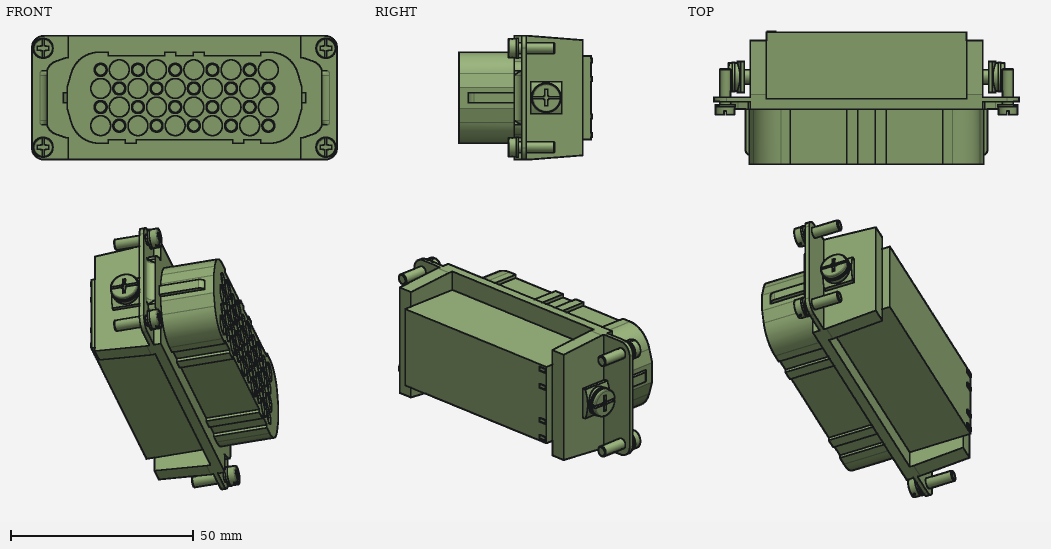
import cadquery as cq
import math


flange_length = 83.7
housing_height = 34.0
flange_front = 2.0
flange_back = 3.3
flange_corner_radius = 3.35
housing_length = 63.8
taper_start = 4.0
end_block_back = 18.8
end_block_back_height = 31.6
body_length = 54.9
body_height = 22.9
body_front = 2.85
body_back = 21.1

marker_size = (2.3, 0.25, 1.2)
marker_x = -26.0
marker_rows = (5.1, 10.2)

ear_reach = 37.7
ear_root_half_height = 11.0
ear_root_step = 0.6
ear_bend_x = 35.3
ear_bend_z = 10.0
ear_tip_half_height = 7.45
ear_corner_radius = 3.8
cove_width = 2.2
cove_half_height = 6.2
cove_end_rise = 0.1
cove_embed = 0.4

insert_depth = 15.15
insert_length = 64.3
insert_height = 24.95
insert_end_half_height = 2.9
insert_slant_inset = 1.1
insert_slant_z = 6.7
insert_flat_half_length = 23.4
insert_round_radius = 7.9
recess_depth = 1.0
recess_half_length = 20.8
rail_width = 3.0
top_rail_x = 3.9
bottom_rail_x = 14.7
key_reach = 33.2
key_height = 2.85
key_depth = 12.6
key_nose_length = 1.6
key_nose_radius = 1.75

contact_columns = 10
contact_rows = 4
contact_pitch = 5.1
contact_recess_depth = 0.5
wide_contact_diameter = 5.4
small_contact_diameter = 3.5
small_contact_floor_diameter = 3.0

screw_x = 38.75
screw_z = 13.6
screw_diameter = 3.0
screw_tip_chamfer = 0.25
screw_end = 11.05
screw_head_diameter = 5.3
screw_collar_diameter = 5.4
screw_collar_length = 0.6
screw_head_back = 1.2
screw_head_front = -1.6
screw_head_edge = 0.25
screw_slot_width = 0.5
screw_slot_depth = 1.0
screw_cross_length = 3.2
screw_cross_width = 1.0
screw_centre_width = 1.3

terminal_y = 8.8
terminal_stud_diameter = 4.0
plate_inner_x = 33.5
plate_edge_x = 34.5
plate_ridge_x = 35.4
plate_width = 8.5
plate_height = 8.7
terminal_head_diameter = 7.8
terminal_head_x = 37.9
terminal_rim_diameter = 8.0
terminal_rim_x = (36.75, 36.1)
terminal_head_edge = 0.25
terminal_slot_width = 0.7
terminal_slot_depth = 1.0
terminal_cross_length = 4.5
terminal_cross_width = 0.75
terminal_centre_diameter = 1.5


def front_plane(y):
    """Sketch plane with X right and Z up, placed at the given depth."""
    return cq.Workplane("XZ", origin=(0, y, 0))


def bar(length, height, y_from, y_to, x=0, z=0):
    """Rectangular bar running along Y."""
    return front_plane(y_from).center(x, z).rect(length, height).extrude(y_from - y_to)


def both_ends(shape):
    """Shape joined with its mirror image on the other end of the part."""
    return shape.union(shape.mirror("YZ"))


def make_housing():
    flange = bar(flange_length, housing_height, flange_front, flange_back)
    flange = flange.edges("|Y").fillet(flange_corner_radius)
    half_height = housing_height / 2
    back_half_height = end_block_back_height / 2
    block = (
        cq.Workplane("YZ", origin=(-housing_length / 2, 0, 0))
        .moveTo(0, -half_height)
        .lineTo(taper_start, -half_height)
        .lineTo(end_block_back, -back_half_height)
        .lineTo(end_block_back, back_half_height)
        .lineTo(taper_start, half_height)
        .lineTo(0, half_height)
        .close()
        .extrude(housing_length)
    )
    housing = flange.union(block).cut(bar(body_length, housing_height, body_front, end_block_back))
    housing = housing.union(bar(body_length, body_height, 0, body_back))
    for row in marker_rows:
        for z in (-row, row):
            marker = cq.Workplane("XY").box(*marker_size, centered=(True, False, True))
            housing = housing.union(marker.translate((marker_x, body_back, z)))
    return housing


def cove_section(z, rise):
    """Coved step in section, rooted in the flange: full rise at the ear, none at its outer edge."""
    outer_x = -ear_reach - cove_width
    middle_x = outer_x + cove_width * math.sin(math.pi / 4)
    middle_y = flange_front - rise * (1 - math.cos(math.pi / 4))
    return (
        cq.Workplane("XY", origin=(0, 0, z))
        .moveTo(outer_x, flange_front)
        .threePointArc((middle_x, middle_y), (-ear_reach, flange_front - rise))
        .lineTo(-ear_reach, flange_front + cove_embed)
        .lineTo(outer_x, flange_front + cove_embed)
        .close()
    )


def make_ear():
    root_x = -housing_length / 2
    ear = (
        front_plane(0)
        .moveTo(root_x, -ear_root_half_height)
        .lineTo(root_x - ear_root_step, -ear_root_half_height)
        .lineTo(-ear_bend_x, -ear_bend_z)
        .radiusArc((-ear_reach, -ear_tip_half_height), ear_corner_radius)
        .lineTo(-ear_reach, ear_tip_half_height)
        .radiusArc((-ear_bend_x, ear_bend_z), ear_corner_radius)
        .lineTo(root_x - ear_root_step, ear_root_half_height)
        .lineTo(root_x, ear_root_half_height)
        .close()
        .extrude(-flange_front)
    )
    ear = ear.union(cove_section(-cove_half_height, flange_front).extrude(2 * cove_half_height))
    full_wire = cove_section(cove_half_height, flange_front).wires().val()
    low_wire = cove_section(ear_tip_half_height, cove_end_rise).wires().val()
    cove_end = cq.Workplane(cq.Solid.makeLoft([full_wire, low_wire], True))
    return ear.union(cove_end).union(cove_end.mirror("XY"))


def make_insert():
    half_length = insert_length / 2
    half_height = insert_height / 2
    slant_x = half_length - insert_slant_inset
    insert = (
        front_plane(0)
        .moveTo(-insert_flat_half_length, half_height)
        .lineTo(insert_flat_half_length, half_height)
        .radiusArc((slant_x, insert_slant_z), insert_round_radius)
        .lineTo(half_length, insert_end_half_height)
        .lineTo(half_length, -insert_end_half_height)
        .lineTo(slant_x, -insert_slant_z)
        .radiusArc((insert_flat_half_length, -half_height), insert_round_radius)
        .lineTo(-insert_flat_half_length, -half_height)
        .radiusArc((-slant_x, -insert_slant_z), insert_round_radius)
        .lineTo(-half_length, -insert_end_half_height)
        .lineTo(-half_length, insert_end_half_height)
        .lineTo(-slant_x, insert_slant_z)
        .radiusArc((-insert_flat_half_length, half_height), insert_round_radius)
        .close()
        .extrude(insert_depth)
    )
    recess_z = half_height - recess_depth / 2
    for side, rail_x in ((1, top_rail_x), (-1, bottom_rail_x)):
        z = side * recess_z
        insert = insert.cut(bar(2 * recess_half_length, recess_depth, -insert_depth, 0, z=z))
        for x in (-rail_x, rail_x):
            insert = insert.union(bar(rail_width, recess_depth, -insert_depth, 0, x, z))
    return insert


def make_key():
    """Guide key on the end of the insert, with a rounded nose."""
    face_x = insert_length / 2
    return (
        cq.Workplane("XY", origin=(0, 0, -key_height / 2))
        .moveTo(-face_x + insert_slant_inset, 0)
        .lineTo(-key_reach, 0)
        .lineTo(-key_reach, -key_depth + key_nose_length)
        .radiusArc((-face_x, -key_depth), -key_nose_radius)
        .lineTo(-face_x + insert_slant_inset, -key_depth)
        .close()
        .extrude(key_height)
    )


def make_contact_recesses():
    """Shallow round recesses, alternating small tapered and wide straight ones."""
    small = (
        front_plane(-insert_depth)
        .circle(small_contact_diameter / 2)
        .workplane(offset=-contact_recess_depth)
        .circle(small_contact_floor_diameter / 2)
        .loft()
    )
    wide = front_plane(-insert_depth).circle(wide_contact_diameter / 2).extrude(-contact_recess_depth)
    recesses = cq.Workplane("XY")
    for row in range(contact_rows):
        for column in range(contact_columns):
            x = (column - (contact_columns - 1) / 2) * contact_pitch
            z = ((contact_rows - 1) / 2 - row) * contact_pitch
            recess = small if (row + column) % 2 == 0 else wide
            recesses.add(recess.translate((x, 0, z)))
    return recesses.combine()


def make_screw():
    head_length = screw_head_back - screw_head_front
    slot_floor = screw_head_front + screw_slot_depth
    shank = front_plane(screw_head_back).circle(screw_diameter / 2).extrude(screw_head_back - screw_end)
    shank = shank.faces(">Y").chamfer(screw_tip_chamfer)
    head = front_plane(screw_head_back).circle(screw_head_diameter / 2).extrude(head_length)
    head = head.faces("<Y").edges().fillet(screw_head_edge)
    collar = front_plane(screw_head_back).circle(screw_collar_diameter / 2).extrude(screw_collar_length)
    slot = bar(screw_slot_width, screw_head_diameter, screw_head_front, slot_floor)
    cross = bar(screw_cross_length, screw_cross_width, screw_head_front, slot_floor)
    centre = bar(screw_centre_width, screw_centre_width, screw_head_front, slot_floor)
    return shank.union(head).union(collar).cut(slot).cut(cross).cut(centre)


def make_terminal():
    """Stud, arched clamp plate and slotted screw head on the -X end."""

    def disc(diameter, x_from, x_to):
        plane = cq.Workplane("YZ", origin=(x_from, terminal_y, 0))
        return plane.circle(diameter / 2).extrude(x_to - x_from)

    def groove(length_y, length_z):
        plane = cq.Workplane("YZ", origin=(-terminal_head_x, terminal_y, 0))
        return plane.rect(length_y, length_z).extrude(terminal_slot_depth)

    stud = disc(terminal_stud_diameter, -plate_ridge_x, -housing_length / 2)
    plate = (
        cq.Workplane("XZ", origin=(0, terminal_y - plate_width / 2, 0))
        .moveTo(-plate_inner_x, -plate_height / 2)
        .lineTo(-plate_edge_x, -plate_height / 2)
        .threePointArc((-plate_ridge_x, 0), (-plate_edge_x, plate_height / 2))
        .lineTo(-plate_inner_x, plate_height / 2)
        .close()
        .extrude(-plate_width)
    )
    head = disc(terminal_head_diameter, -terminal_head_x, -plate_edge_x)
    head = head.faces("<X").edges().fillet(terminal_head_edge)
    rim_front, rim_back = terminal_rim_x
    head = head.union(disc(terminal_rim_diameter, -rim_front, -rim_back))
    head = head.cut(groove(terminal_head_diameter, terminal_slot_width))
    head = head.cut(groove(terminal_cross_width, terminal_cross_length))
    head = head.cut(disc(terminal_centre_diameter, -terminal_head_x, -terminal_head_x + terminal_slot_depth))
    return stud.union(plate).union(head)


result = make_housing().union(make_insert())
result = result.union(both_ends(make_ear()))
result = result.union(both_ends(make_key()))
result = result.union(both_ends(make_terminal()))
for screw_side_x in (-screw_x, screw_x):
    for screw_side_z in (-screw_z, screw_z):
        result = result.union(make_screw().translate((screw_side_x, 0, screw_side_z)))
result = result.cut(make_contact_recesses())